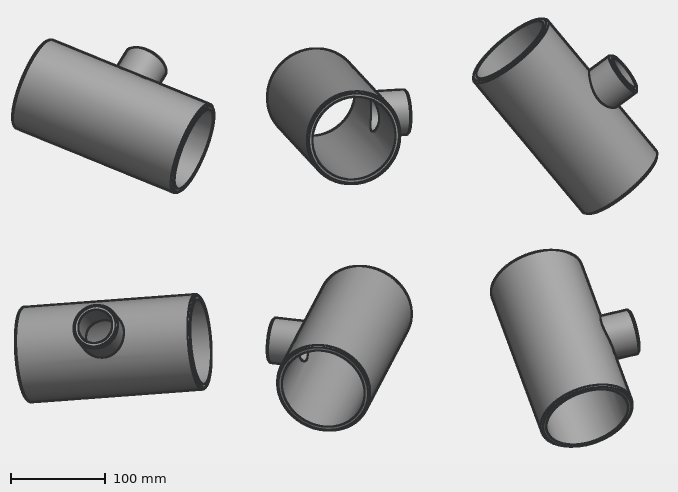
import cadquery as cq

run_length = 190.5
run_diameter = 101.5
wall = 5.7
run_bore = run_diameter - 2 * wall

branch_diameter = 48.4
branch_bore = branch_diameter - 2 * wall
overall_width = 130.1
branch_reach = overall_width - run_diameter / 2

end_bevel = 2.0


def run_cylinder(diameter):
    return cq.Workplane("YZ").circle(diameter / 2).extrude(run_length / 2, both=True)


def branch_cylinder(diameter):
    return cq.Workplane("XZ").circle(diameter / 2).extrude(-branch_reach)


run_outer = run_cylinder(run_diameter).faces("<X or >X").edges().chamfer(end_bevel)
branch_outer = branch_cylinder(branch_diameter).faces(">Y").edges().chamfer(end_bevel)

result = (
    run_outer.union(branch_outer)
    .cut(run_cylinder(run_bore))
    .cut(branch_cylinder(branch_bore))
)